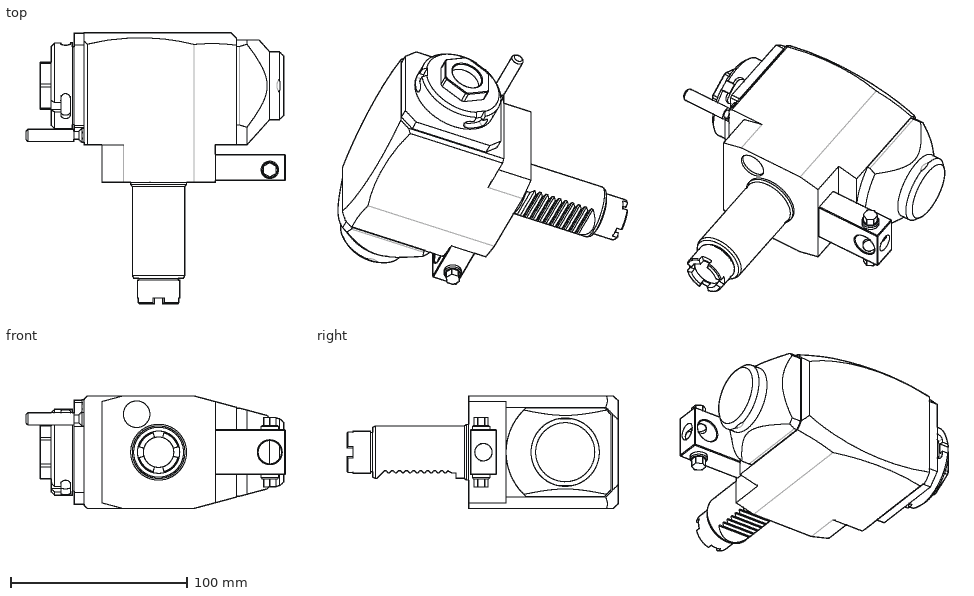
import cadquery as cq
import math


half_height = 32.0
body_left = -42.4
body_right = 44.4
body_front = 21.3
body_back = 85.0
left_chamfer = 1.8
back_corner_chamfer = 3.2
spindle_y = 54.8
barrel_radius = 42.0
barrel_sweep = 200.2
barrel_middle = -10.5

slope_start = 20.0
slope = math.tan(math.radians(15))

base_half_width = 32.2
plug_x = -12.5
plug_z = 21.5
plug_radius = 7.5
plug_depth = 1.5

shank_end = -69.0
collar_radius = 15.9
collar_length = 1.2
collar_taper_end = 2.5
shank_radius = 15.0
shank_shoulder = -54.5
shank_end_chamfer = 0.8
shank_end_chamfer_length = 1.5
neck_radius = 11.2
neck_length = 1.1
drive_radius = 12.0
drive_chamfer = 0.6
drive_bore_radius = 8.6
drive_bore_depth = 3.8
drive_slot_depth = 3.2
drive_slot_half_angle = 15.5

teeth_start = -7.2
first_tooth = -13.2
tooth_count = 9
tooth_pitch = 4.0
tooth_tip_z = -11.9
tooth_root_z = -10.6
tooth_tip_width = 0.5

arm_right = 72.0
arm_front = 1.0
arm_back = 15.9
arm_half_height = 12.8
arm_edge = 0.5
arm_hole_x = 63.1
arm_hole_radius = 6.6
arm_hole_chamfer = 0.5
screw_y = 7.1
screw_bore_radius = 4.3
screw_tip_z = 6.8
flange_radius = 5.0
flange_height = 2.3
flange_chamfer = 0.6
screw_head_flats = 7.1
screw_head_corner_radius = 4.0
screw_head_top = 19.7
outlet_radius = 5.0

housing_radius = 33.5
housing_cylinder_end = 50.2
housing_back_flat = 80.8
boss_start = 63.0
boss_radius = 19.4
boss_end = 71.1
boss_chamfer = 2.6
ledge_end = 46.0

plate_left = -47.9
plate_front = 25.5
plate_back = 84.7
plate_half_height = 29.5
plate_chamfer = 6.8
notch_y = 31.1
notch_relief = 1.1

pin_y = 26.6
pin_z = 19.0
pin_end = -75.3
pin_radius = 3.5
pin_chamfer = 1.1
pin_shoulder = -48.0
pin_neck_radius = 2.3
pin_seat_radius = 4.0
pin_seat_left = -45.3
pin_seat_taper = 1.7
bolt_z = 25.9
bolt_radius = 4.0
bolt_head_left = -43.5
bolt_socket_radius = 1.4

nut_left = -61.0
nut_right = -49.0
nut_radius = 24.5
nut_chamfer = 2.0
nut_neck_radius = 22.2
nut_slot_width = 6.2
nut_slot_depth = 2.6
nut_pocket_x = -52.8
nut_pocket_width = 5.4
nut_pocket_length = 16.3
nut_pocket_depth = 3.5
hex_left = -67.5
hex_across_flats = 27.0
hex_corner_radius = 15.1
hex_edge_chamfer = 0.5
hex_bore_radius = 9.1
hex_bore_chamfer = 0.5
hex_bore_depth = 4.6


def sloped_height(x):
    """Half height of the body at x, on the sloped stretch."""
    return half_height - slope * (x - slope_start)


def mirrored_prism(upper_points, y_start, y_end):
    """Prism along Y whose XZ outline is the given upper edge and its mirror image below."""
    lower_points = [(x, -z) for x, z in reversed(upper_points)]
    outline = cq.Workplane("XZ", origin=(0, y_start, 0)).polyline(upper_points + lower_points).close()
    return outline.extrude(y_start - y_end)


def box(x_range, y_range, z_range):
    """Axis-aligned box between pairs of limits."""
    size = [high - low for low, high in (x_range, y_range, z_range)]
    corner = (x_range[0], y_range[0], z_range[0])
    return cq.Workplane("XY").box(*size, centered=False).translate(corner)


def turned_about_x(profile, y=0.0, z=0.0):
    """Solid of revolution about an X-parallel axis from (x, radius) points."""
    points = [(profile[0][0], 0)] + profile + [(profile[-1][0], 0)]
    solid = cq.Workplane("XY").polyline(points).close().revolve(360, (0, 0, 0), (1, 0, 0))
    return solid.translate((0, y, z))


def rod_along_x(radius, x_start, x_end, y, z):
    return cq.Workplane("YZ", origin=(x_start, y, z)).circle(radius).extrude(x_end - x_start)


def make_body():
    body = mirrored_prism(
        [
            (body_left, half_height - left_chamfer),
            (body_left + left_chamfer, half_height),
            (slope_start, half_height),
            (body_right, sloped_height(body_right)),
        ],
        body_front,
        body_back,
    )
    body = body.edges("|Z").edges(">X and >Y").chamfer(back_corner_chamfer)

    half_length = body_right - barrel_middle
    barrel_end_radius = barrel_radius - barrel_sweep + math.sqrt(barrel_sweep**2 - half_length**2)
    barrel = (
        cq.Workplane("XY", origin=(barrel_middle, spindle_y, 0))
        .moveTo(-half_length, 0)
        .lineTo(-half_length, barrel_end_radius)
        .threePointArc((0, barrel_radius), (half_length, barrel_end_radius))
        .lineTo(half_length, 0)
        .close()
        .revolve(360, (0, 0, 0), (1, 0, 0))
    )
    x_range = (body_left, body_right)
    z_range = (-half_height, half_height)
    front_half = box(x_range, (body_front, spindle_y), z_range)
    return body.intersect(barrel.union(front_half))


def make_base():
    corner_height = sloped_height(base_half_width)
    base = mirrored_prism(
        [
            (-base_half_width, corner_height),
            (-slope_start, half_height),
            (slope_start, half_height),
            (base_half_width, corner_height),
        ],
        0,
        body_front,
    )
    plug_recess = cq.Workplane("XZ", origin=(plug_x, 0, plug_z)).circle(plug_radius).extrude(-plug_depth)
    return base.cut(plug_recess)


def make_shank():
    neck_end = shank_shoulder - neck_length
    profile = [
        (0, 0),
        (collar_radius, 0),
        (collar_radius, -collar_length),
        (shank_radius, -collar_taper_end),
        (shank_radius, shank_shoulder + shank_end_chamfer_length),
        (shank_radius - shank_end_chamfer, shank_shoulder),
        (neck_radius, shank_shoulder),
        (neck_radius, neck_end),
        (drive_radius, neck_end),
        (drive_radius, shank_end + drive_chamfer),
        (drive_radius - drive_chamfer, shank_end),
        (0, shank_end),
    ]
    shank = cq.Workplane("XY").polyline(profile).close().revolve(360, (0, 0, 0), (0, 1, 0))
    drive_face = cq.Workplane("XZ", origin=(0, shank_end, 0))
    shank = shank.cut(drive_face.circle(drive_bore_radius).extrude(-drive_bore_depth))
    slot_half_width = shank_radius * math.tan(math.radians(drive_slot_half_angle))
    wedge = [(0, 0), (shank_radius, slot_half_width), (shank_radius, -slot_half_width)]
    slot = drive_face.polyline(wedge).close().extrude(-drive_slot_depth)
    for angle in (0, 90, 180, 270):
        shank = shank.cut(slot.rotate((0, 0, 0), (0, 1, 0), angle))
    return shank.cut(make_tooth_cutter())


def make_tooth_cutter():
    """Removes the lower side of the shank and leaves a rack of V-shaped teeth."""
    flank = tooth_tip_z - tooth_root_z
    half_tip = tooth_tip_width / 2
    points = [(teeth_start, -collar_radius), (teeth_start, tooth_tip_z)]
    points.append((first_tooth + tooth_pitch - half_tip, tooth_tip_z))
    for index in range(tooth_count):
        tip = first_tooth - index * tooth_pitch
        points += [
            (tip + half_tip - flank, tooth_root_z),
            (tip + half_tip, tooth_tip_z),
            (tip - half_tip, tooth_tip_z),
            (tip - half_tip + flank, tooth_root_z),
        ]
    ramp_start = first_tooth - tooth_count * tooth_pitch + half_tip - flank
    points.append((ramp_start, tooth_root_z))
    points.append((ramp_start - (collar_radius + tooth_root_z), -collar_radius))
    outline = cq.Workplane("YZ").polyline(points).close()
    return outline.extrude(collar_radius, both=True)


def make_screw_head():
    """Flanged screw head standing on the upper side of the arm."""
    seat = cq.Workplane("XY", origin=(arm_hole_x, screw_y, arm_half_height))
    flange = seat.circle(flange_radius).extrude(flange_height).faces(">Z").chamfer(flange_chamfer)
    corner_diameter = screw_head_flats / math.cos(math.radians(30))
    hexagon = seat.transformed(rotate=(0, 0, 90)).polygon(6, corner_diameter)
    head_height = screw_head_top - arm_half_height
    head = hexagon.extrude(head_height).intersect(seat.circle(screw_head_corner_radius).extrude(head_height))
    return flange.union(head)


def make_arm():
    z_range = (-arm_half_height, arm_half_height)
    arm = box((base_half_width, arm_right), (arm_front, arm_back), z_range)
    arm = arm.edges("|X or >X").chamfer(arm_edge)
    eye = cq.Workplane("XZ", origin=(arm_hole_x, 0, 0)).circle(arm_hole_radius).extrude(-arm_back)
    arm = arm.cut(eye)
    arm = arm.edges(cq.selectors.RadiusNthSelector(0)).chamfer(arm_hole_chamfer)
    outlet = rod_along_x(outlet_radius, arm_hole_x, arm_right, (arm_front + arm_back) / 2, 0)
    screw_bore = (
        cq.Workplane("XY", origin=(arm_hole_x, screw_y, 0))
        .circle(screw_bore_radius)
        .extrude(screw_tip_z, both=True)
    )
    head = make_screw_head()
    return arm.cut(outlet).cut(screw_bore).union(head).union(head.mirror("XY"))


def make_housing():
    housing = turned_about_x(
        [
            (body_right, housing_radius),
            (housing_cylinder_end, housing_radius),
            (boss_start, boss_radius),
            (boss_end - boss_chamfer, boss_radius),
            (boss_end, boss_radius - boss_chamfer),
        ],
        spindle_y,
    )
    ledge_height = sloped_height(ledge_end)
    envelope = mirrored_prism(
        [
            (body_right, ledge_height),
            (ledge_end, ledge_height),
            (boss_end, sloped_height(boss_end)),
        ],
        spindle_y - housing_radius,
        housing_back_flat,
    )
    return housing.intersect(envelope)


def make_plate():
    y_range = (plate_front, plate_back)
    z_range = (-plate_half_height, plate_half_height)
    plate = box((plate_left, body_left), y_range, z_range).edges("|X").chamfer(plate_chamfer)
    notch_points = [
        (plate_front, pin_z),
        (notch_y, pin_z),
        (notch_y, plate_half_height - notch_relief),
        (notch_y + notch_relief, plate_half_height),
        (plate_front, plate_half_height),
    ]
    notch = (
        cq.Workplane("YZ", origin=(plate_left, 0, 0))
        .polyline(notch_points)
        .close()
        .extrude(body_left - plate_left)
    )
    notch_floor = rod_along_x(notch_y - pin_y, plate_left, body_left, pin_y, pin_z)
    return plate.cut(notch).cut(notch_floor)


def make_pin():
    return turned_about_x(
        [
            (pin_end, pin_radius - pin_chamfer),
            (pin_end + pin_chamfer, pin_radius),
            (pin_shoulder, pin_radius),
            (pin_shoulder, pin_neck_radius),
            (pin_seat_left, pin_neck_radius),
            (pin_seat_left + pin_seat_taper, pin_seat_radius),
            (body_left, pin_seat_radius),
        ],
        pin_y,
        pin_z,
    )


def make_bolt():
    head = rod_along_x(bolt_radius, bolt_head_left, body_left, pin_y, bolt_z)
    socket = rod_along_x(bolt_socket_radius, bolt_head_left, body_left, pin_y, bolt_z)
    return head.cut(socket)


def make_nut():
    nut = turned_about_x(
        [
            (nut_left, nut_radius - nut_chamfer),
            (nut_left + nut_chamfer, nut_radius),
            (nut_right, nut_radius),
            (nut_right, nut_neck_radius),
            (plate_left, nut_neck_radius),
        ],
    )
    slot_floor = cq.Workplane("XZ", origin=(0, nut_radius - nut_slot_depth, 0))
    slot_length = nut_pocket_x - nut_left
    slot_middle = nut_left + slot_length / 2
    slot = slot_floor.center(slot_middle, 0).rect(slot_length, nut_slot_width).extrude(-nut_radius)
    pocket_outline = cq.Workplane("XZ", origin=(nut_pocket_x, 0, 0))
    pocket = pocket_outline.slot2D(nut_pocket_length, nut_pocket_width, 90).extrude(-nut_radius)
    pocket = pocket.cut(rod_along_x(nut_radius - nut_pocket_depth, nut_left, nut_right, 0, 0))
    cutter = slot.union(pocket)
    for angle in (0, 120, 240):
        nut = nut.cut(cutter.rotate((0, 0, 0), (1, 0, 0), angle))
    return nut.translate((0, spindle_y, 0))


def make_hexagon():
    corner_diameter = hex_across_flats / math.cos(math.radians(30))
    hexagon = (
        cq.Workplane("YZ", origin=(hex_left, 0, 0))
        .polygon(6, corner_diameter)
        .extrude(nut_left - hex_left)
        .rotate((0, 0, 0), (1, 0, 0), 90)
        .translate((0, spindle_y, 0))
    )
    envelope = turned_about_x([(hex_left, hex_corner_radius), (nut_left, hex_corner_radius)], spindle_y)
    hexagon = hexagon.intersect(envelope).faces("<X").chamfer(hex_edge_chamfer)
    bore = rod_along_x(hex_bore_radius, hex_left, hex_left + hex_bore_depth, spindle_y, 0)
    countersink = turned_about_x(
        [
            (hex_left, hex_bore_radius + hex_bore_chamfer),
            (hex_left + hex_bore_chamfer, hex_bore_radius),
        ],
        spindle_y,
    )
    return hexagon.cut(bore).cut(countersink)


result = (
    make_body()
    .union(make_base())
    .union(make_shank())
    .union(make_arm())
    .union(make_housing())
    .union(make_plate())
    .union(make_pin())
    .union(make_bolt())
    .union(make_nut())
    .union(make_hexagon())
)